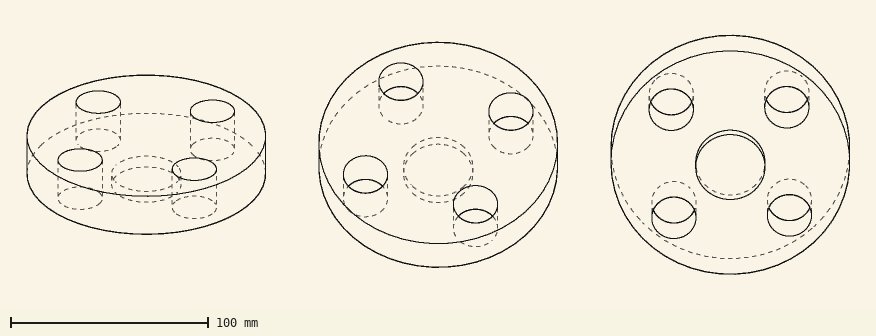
import cadquery as cq

flange_diameter = 120.65
flange_thickness = 22.35
face_diameter = 35.05
face_height = 6.35
bolt_circle_diameter = 82.55
bolt_hole_diameter = 22.35
bolt_count = 4


def flange_disc():
    """Plain disc with its underside on Z = 0."""
    return cq.Workplane("XY").circle(flange_diameter / 2).extrude(flange_thickness)


def raised_face():
    """Round sealing face standing below the disc."""
    return cq.Workplane("XY").circle(face_diameter / 2).extrude(-face_height)


def bolt_holes():
    """Cylinders for the through holes, the first one on the +X axis."""
    return (
        cq.Workplane("XY")
        .polarArray(bolt_circle_diameter / 2, 0, 360, bolt_count)
        .circle(bolt_hole_diameter / 2)
        .extrude(flange_thickness)
    )


result = flange_disc().union(raised_face()).cut(bolt_holes())